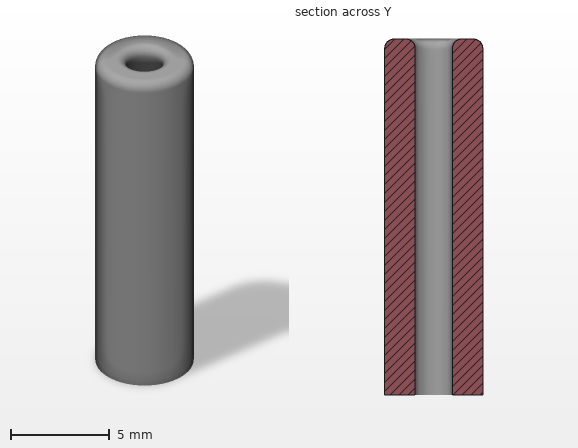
import cadquery as cq

outer_diameter = 5.0
bore_diameter = 1.86
length = 18.05
rim_fillet = 0.5
bore_fillet = 0.5


def make_body():
    """Cylindrical body standing on the XY plane, with a rounded top rim."""
    body = cq.Workplane("XY").circle(outer_diameter / 2).extrude(length)
    return body.faces(">Z").edges().fillet(rim_fillet)


def cut_bore(body):
    """Through bore along the axis, with a rounded mouth at the top."""
    bored = body.faces(">Z").workplane(origin=(0, 0, length)).hole(bore_diameter)
    bore_mouth = cq.selectors.RadiusNthSelector(0)
    return bored.faces(">Z").edges(bore_mouth).fillet(bore_fillet)


result = cut_bore(make_body())